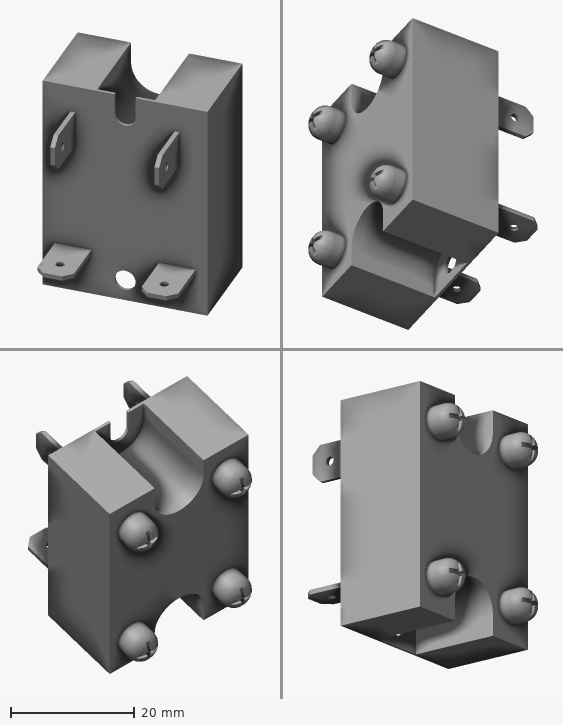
import cadquery as cq

WIDTH = 28.5
HEIGHT = 38.5
HOUSING_DEPTH = 15.8
PLATE_THICKNESS = 0.5

MOUNT_Z = 15.5
MOUNT_HOLE_DIAMETER = 3.6
CLEARANCE_RADIUS = 5.0

STUD_X = 9.62
STUD_Z = 13.25
STUD_DIAMETER = 5.75
STUD_HEIGHT = 4.7
HEAD_ROUNDING = 2.35
DRIVE_SLOT_WIDTH = 0.8
DRIVE_SLOT_DEPTH = 0.7

TAB_X = 9.0
UPPER_TAB_Z = 11.3
LOWER_TAB_Z = -11.4
TAB_LENGTH = 9.5
TAB_WIDTH = 6.3
TAB_THICKNESS = 0.8
TAB_CHAMFER = 1.5
TAB_HOLE_DIAMETER = 1.5
TAB_HOLE_FROM_TIP = 3.5


def block(depth):
    """Full-outline block that runs from Y = 0 to Y = depth."""
    return cq.Workplane("XY").box(WIDTH, depth, HEIGHT).translate((0, depth / 2, 0))


def end_slot(radius, depth, side):
    """Round-bottomed slot cutter, open at the top (side = 1) or bottom (side = -1) edge."""
    straight_length = HEIGHT / 2 - MOUNT_Z
    round_bottom = (
        cq.Workplane("XZ").center(0, side * MOUNT_Z).circle(radius).extrude(-depth)
    )
    straight_part = (
        cq.Workplane("XZ")
        .center(0, side * (MOUNT_Z + straight_length / 2))
        .rect(2 * radius, straight_length)
        .extrude(-depth)
    )
    return round_bottom.union(straight_part)


def make_stud():
    """Stud along +Y from the origin, with a rounded head and a cross of two slots."""
    stud = (
        cq.Workplane("XZ")
        .circle(STUD_DIAMETER / 2)
        .extrude(-STUD_HEIGHT)
        .faces(">Y")
        .edges()
        .fillet(HEAD_ROUNDING)
    )
    slot_y = STUD_HEIGHT - DRIVE_SLOT_DEPTH / 2
    slot_along_x = cq.Workplane("XY").box(STUD_DIAMETER, DRIVE_SLOT_DEPTH, DRIVE_SLOT_WIDTH)
    slot_along_z = cq.Workplane("XY").box(DRIVE_SLOT_WIDTH, DRIVE_SLOT_DEPTH, STUD_DIAMETER)
    cross = slot_along_x.union(slot_along_z).translate((0, slot_y, 0))
    return stud.cut(cross)


def make_housing():
    """Block with a clearance slot at both ends and four studs on its +Y face."""
    housing = block(HOUSING_DEPTH)
    for side in (1, -1):
        housing = housing.cut(end_slot(CLEARANCE_RADIUS, HOUSING_DEPTH, side))
    stud = make_stud()
    for x in (-STUD_X, STUD_X):
        for z in (-STUD_Z, STUD_Z):
            housing = housing.union(stud.translate((x, HOUSING_DEPTH, z)))
    return housing


def make_plate():
    """Thin plate with an open mounting slot at the top and a round hole at the bottom."""
    hole_radius = MOUNT_HOLE_DIAMETER / 2
    round_hole = (
        cq.Workplane("XZ").center(0, -MOUNT_Z).circle(hole_radius).extrude(-PLATE_THICKNESS)
    )
    plate = block(PLATE_THICKNESS).cut(end_slot(hole_radius, PLATE_THICKNESS, 1)).cut(round_hole)
    return plate.translate((0, -PLATE_THICKNESS, 0))


def make_tab(x, z, turn):
    """Tab along -Y from the plate, lying flat (turn = 0) or on edge (turn = 90)."""
    tab = (
        cq.Workplane("XY")
        .box(TAB_WIDTH, TAB_LENGTH, TAB_THICKNESS)
        .edges("|Z and <Y")
        .chamfer(TAB_CHAMFER)
    )
    hole = (
        cq.Workplane("XY")
        .center(0, TAB_HOLE_FROM_TIP - TAB_LENGTH / 2)
        .circle(TAB_HOLE_DIAMETER / 2)
        .extrude(TAB_THICKNESS, both=True)
    )
    tab = tab.cut(hole).rotate((0, 0, 0), (0, 1, 0), turn)
    return tab.translate((x, -PLATE_THICKNESS - TAB_LENGTH / 2, z))


housing = make_housing()
plate = make_plate()
tabs = []
for tab_x in (-TAB_X, TAB_X):
    tabs.append(make_tab(tab_x, UPPER_TAB_Z, 90).val())
    tabs.append(make_tab(tab_x, LOWER_TAB_Z, 0).val())

result = cq.Compound.makeCompound([housing.val(), plate.val(), *tabs])